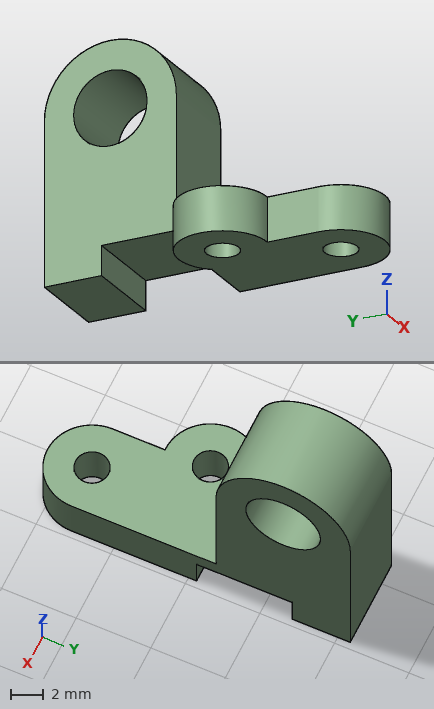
import cadquery as cq

width = 6.0
lug_radius = 4.5
bore_diameter = 5.0
bore_height = 11.0

plate_thickness = 3.0
plate_radius = width / 2
nose_y = -14.2
screw_diameter = 2.2

ear_radius = 3.0
ear_x = -3.1
ear_y = -7.7

notch_height = 2.0
foot_length = 3.9
notch_rear_y = lug_radius - foot_length
notch_front_y = -5.8


def make_lug():
    """Round-topped upright, extruded along X."""
    return (
        cq.Workplane("YZ", origin=(-width / 2, 0, 0))
        .moveTo(-lug_radius, 0)
        .lineTo(lug_radius, 0)
        .lineTo(lug_radius, bore_height)
        .threePointArc((0, bore_height + lug_radius), (-lug_radius, bore_height))
        .close()
        .extrude(width)
    )


def make_plate():
    """Flat base plate with a semicircular nose, reaching under the lug."""
    return (
        cq.Workplane("XY")
        .moveTo(-plate_radius, 0)
        .lineTo(-plate_radius, nose_y)
        .threePointArc((0, nose_y - plate_radius), (plate_radius, nose_y))
        .lineTo(plate_radius, 0)
        .close()
        .extrude(plate_thickness)
    )


def make_ear():
    """Round ear, a full disc that runs into the side of the plate."""
    return cq.Workplane("XY").center(ear_x, ear_y).circle(ear_radius).extrude(plate_thickness)


def make_ear_bridge():
    """Block giving the ear straight flanks from its axis to the plate."""
    return (
        cq.Workplane("XY", origin=(ear_x, ear_y, 0))
        .box(-ear_x, 2 * ear_radius, plate_thickness, centered=(False, True, False))
    )


def make_notch():
    """Cutter for the gap under the lug, which also undercuts the ear bridge."""
    length = notch_rear_y - notch_front_y
    span = -2 * ear_x
    return (
        cq.Workplane("XY", origin=(0, notch_front_y, 0))
        .box(span, length, notch_height, centered=(True, False, False))
    )


def make_bore():
    """Cutter for the cross bore through the lug."""
    return (
        cq.Workplane("YZ", origin=(-width / 2, 0, 0))
        .center(0, bore_height)
        .circle(bore_diameter / 2)
        .extrude(width)
    )


def make_screw_holes():
    """Cutters for the vertical holes in the ear and the nose."""
    return (
        cq.Workplane("XY")
        .pushPoints([(ear_x, ear_y), (0, nose_y)])
        .circle(screw_diameter / 2)
        .extrude(plate_thickness)
    )


body = make_lug().union(make_plate()).union(make_ear_bridge())
body = body.cut(make_notch()).union(make_ear())
result = body.cut(make_bore()).cut(make_screw_holes())